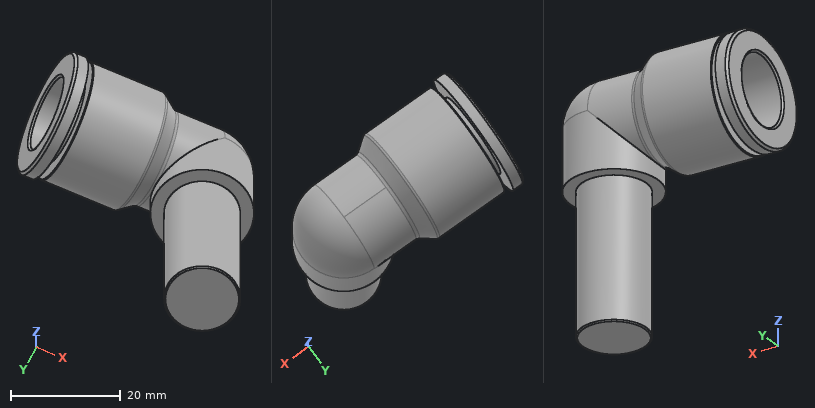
import cadquery as cq


overall_length = 41.4
overall_height = 54.5

collar_width = 25.0
collar_height = 22.95
collar_thickness = 2.6
collar_chamfer = 0.5
sleeve_diameter = 17.1

body_diameter = 23.55
body_start = 3.9
body_front_chamfer = 0.15
shoulder_start = 18.95
shoulder_end = 22.05
shoulder_fillet = 0.75
neck_fillet = 1.1

bore_diameter = 14.35
bore_depth = 21.8
bore_chamfer = 0.4

elbow_diameter = 19.0
elbow_drop = 12.75
stem_diameter = 14.0
stem_chamfer = 0.25

body_radius = body_diameter / 2
elbow_radius = elbow_diameter / 2
elbow_x = overall_length - elbow_radius
stem_drop = overall_height - body_radius

selection_margin = 0.05


def make_collar():
    """Oval flange with a chamfered front edge."""
    return (
        cq.Workplane("YZ")
        .ellipse(collar_width / 2, collar_height / 2)
        .extrude(collar_thickness)
        .faces("<X")
        .chamfer(collar_chamfer)
    )


def make_sleeve():
    """Round sleeve joining the collar to the socket body."""
    return cq.Workplane("YZ").circle(sleeve_diameter / 2).extrude(shoulder_start)


def turned_edge(x, radius):
    """Select the circular edge of the given radius at position x on the socket axis."""
    reach = radius + selection_margin
    return cq.selectors.BoxSelector(
        (x - selection_margin, -reach, -reach),
        (x + selection_margin, reach, reach),
        boundingbox=True,
    )


def make_body():
    """Turned socket body: cylinder, blended conical shoulder and neck up to the elbow centre."""
    body = (
        cq.Workplane("XZ")
        .moveTo(body_start, 0)
        .lineTo(body_start, body_radius)
        .lineTo(shoulder_start, body_radius)
        .lineTo(shoulder_end, elbow_radius)
        .lineTo(elbow_x, elbow_radius)
        .lineTo(elbow_x, 0)
        .close()
        .revolve(360, (0, 0, 0), (1, 0, 0))
    )
    body = body.faces("<X").chamfer(body_front_chamfer)
    body = body.edges(turned_edge(shoulder_start, body_radius)).fillet(shoulder_fillet)
    return body.edges(turned_edge(shoulder_end, elbow_radius)).fillet(neck_fillet)


def make_elbow():
    """Vertical leg of the elbow, closed on top by a ball as wide as the leg."""
    leg = (
        cq.Workplane("XY")
        .center(elbow_x, 0)
        .circle(elbow_radius)
        .extrude(-elbow_drop)
    )
    ball = cq.Workplane("XY").sphere(elbow_radius).translate((elbow_x, 0, 0))
    return leg.union(ball)


def make_stem():
    """Plain tube stem with a chamfered lower end."""
    return (
        cq.Workplane("XY")
        .center(elbow_x, 0)
        .circle(stem_diameter / 2)
        .extrude(-stem_drop)
        .faces("<Z")
        .chamfer(stem_chamfer)
    )


def make_bore():
    """Blind tube bore, chamfered at its mouth."""
    bore_radius = bore_diameter / 2
    return (
        cq.Workplane("XZ")
        .lineTo(0, bore_radius + bore_chamfer)
        .lineTo(bore_chamfer, bore_radius)
        .lineTo(bore_depth, bore_radius)
        .lineTo(bore_depth, 0)
        .close()
        .revolve(360, (0, 0, 0), (1, 0, 0))
    )


result = (
    make_body()
    .union(make_elbow())
    .union(make_stem())
    .union(make_sleeve())
    .union(make_collar())
    .cut(make_bore())
)